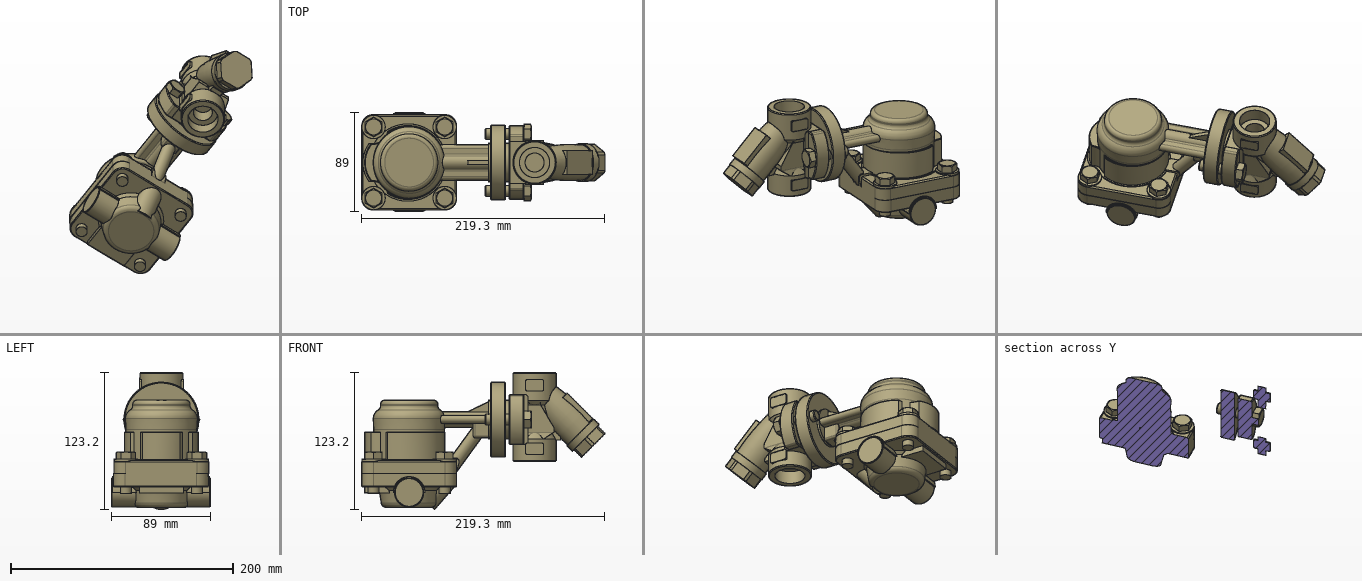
import cadquery as cq
import math


plate_width = 85.5
plate_corner = 10.5
body_plate_height = 12.0
spot_height = 13.1
cover_thickness = 12.0
cover_shift = 0.5
plate_edge_chamfer = 1.3
cover_edge_chamfer = 0.9
plate_bolt_pitch = 64.0
plate_bolt_reach = 17.7

hex_flats = 15.3
hex_height = 6.5
head_top_diameter = 14.5
head_chamfer_angle = 30.0
bolt_diameter = 10.0
tail_chamfer = 0.9

body_radius = 33.3
body_top = 37.7
lobe_radius = 27.2
lobe_reach = 40.0
relief_radius = 14.0
relief_offset_x = 33.0
relief_offset_y = 31.0
body_shift = -1.0
body_chamfer = 0.7
foot_radius = 34.8
foot_height = 0.9

cap_low_radius = 32.0
cap_low_z = 39.7
cap_wide_radius = 32.5
cap_wide_z = 49.5
cap_shoulder_middle = (31.1, 54.1)
cap_shoulder_end = (27.8, 57.5)
cap_hollow_middle = (26.3, 59.2)
cap_neck_radius = 25.9
cap_neck_low_z = 61.4
cap_neck_high_z = 62.5
cap_rim_middle = (24.8, 65.0)
cap_top_radius = 22.0
cap_top = 66.2

port_radius = 13.1
port_z = -16.9
port_span = 89.0
port_collar_radius = 14.2
port_collar_span = 87.2
port_chamfer = 0.7

bowl_top_radius = 27.0
bowl_flare_radius = 29.4
bowl_flare_height = 2.8
bowl_low_radius = 24.5
bowl_bottom = -30.5
bowl_fillet = 4.8
cover_pad_width = 39.9
cover_pad_depth = 17.3

duct_radius = 10.5
duct_angle = 49.0
duct_corner_x = 23.0
duct_bottom = -32.2
duct_limit_x = 40.8
riser_diameter = 12.0
riser_angle = 54.0
riser_start_x = 38.0
riser_start_z = 5.0
riser_length = 41.6
riser_pad_width = 14.5
riser_pad_end_x = 44.7
riser_pad_top = 14.0
riser_pad_bottom = 2.2
riser_pad_knee_z = 9.2
riser_pad_chamfer = 1.8

connector_z = 48.6
connector_diameter = 14.5
web_width = 32.2
web_height = 7.0
web_root_fillet = 2.2
rib_start_x = 51.7
rib_width = 4.0
rib_base_z = 6.5
rib_top_z = 16.2
block_start_x = 57.6
block_width = 16.0
block_bottom_z = 32.2
block_fillet = 1.8

face_radius = 17.5
back_face_x = 71.5
flange_start_x = 73.5
flange_end_x = 86.8
flange_radius = 33.7
flange_chamfer = 0.9
valve_flange_start_x = 89.8
valve_flange_end_x = 103.5
valve_flange_radius = 33.0
valve_flange_height = 44.7
valve_flange_corner = 2.6
valve_neck_end_x = 107.0
valve_neck_height = 45.1
valve_neck_width = 37.7
valve_neck_fillet = 2.8
flange_bolt_offset = 25.6
flange_bolt_tail_x = 68.4

valve_x = 112.8
valve_radius = 19.5
valve_bottom = 11.2
valve_top = 91.0
valve_edge_chamfer = 0.9
waist_half_width = 16.2
waist_flare = 18.0
waist_foot_end_x = 121.2
waist_low_end_x = 130.2
waist_high_end_x = 118.3
waist_end_rise = 4.4
waist_low_edge = 31.3
waist_low_flat = 37.3
waist_high_flat = 61.8
waist_high_edge = 66.0
label_width = 16.2
label_height = 10.3
label_corner = 1.5
label_half_span = 20.0
label_levels = (22.4, 79.5)
socket_radius = 13.5
socket_depth = 12.0
bore_radius = 8.5
bore_depth = 26.3

part_end_x = 176.5
branch_end_z = 25.5
plug_flats = 30.2
plug_length = 9.6
plug_corner_radius = 16.7
collar_radius = 17.0
collar_end = 16.7
barrel_end = 68.0
barrel_root_radius = 12.7
barrel_mid = 37.3
barrel_mid_radius = 16.2
barrel_front_radius = 16.0
tag_start = 17.5
tag_length = 32.5
tag_width = 21.5
tag_height = 16.7
gusset_width = 11.0
gusset_bottom = 30.2
gusset_reach = 4.0


def disc_x(start_x, end_x, radius, y=0.0):
    """Cylinder along X on the height of the connector axis."""
    plane = cq.Plane(origin=(start_x, y, connector_z), xDir=(0, 1, 0), normal=(1, 0, 0))
    return cq.Workplane(plane).circle(radius).extrude(end_x - start_x)


def hexagon(plane, flats, height):
    return cq.Workplane(plane).polygon(6, flats / math.cos(math.pi / 6)).extrude(height)


def bolt_head(plane):
    """Hexagon head with its top corners chamfered to a circle."""
    corner_radius = hex_flats / 2 / math.cos(math.pi / 6)
    top_radius = head_top_diameter / 2
    drop = (corner_radius - top_radius) * math.tan(math.radians(head_chamfer_angle))
    turned = (
        cq.Workplane("XZ")
        .lineTo(corner_radius, 0)
        .lineTo(corner_radius, hex_height - drop)
        .lineTo(top_radius, hex_height)
        .lineTo(0, hex_height)
        .close()
        .revolve(360, (0, 0, 0), (0, 1, 0))
    )
    placed = cq.Workplane(turned.val().moved(cq.Location(plane)))
    return hexagon(plane, hex_flats, hex_height).intersect(placed)


def inclined_cylinder(x, z, angle, radius, length):
    """Cylinder in the XZ plane, rising towards +X."""
    rise = math.radians(angle)
    direction = (math.cos(rise), 0, math.sin(rise))
    plane = cq.Plane(origin=(x, 0, z), xDir=(0, 1, 0), normal=direction)
    return cq.Workplane(plane).circle(radius).extrude(length)


def plate(bottom, height, shift):
    return (
        cq.Workplane("XY", origin=(0, shift, bottom))
        .rect(plate_width, plate_width)
        .extrude(height)
        .edges("|Z")
        .fillet(plate_corner)
    )


bolt_offset = plate_bolt_pitch / 2
plate_bolts = [(x, y) for x in (-bolt_offset, bolt_offset) for y in (-bolt_offset, bolt_offset)]


def plates():
    body_plate = plate(0, body_plate_height, 0).faces(">Z").edges().chamfer(plate_edge_chamfer)
    cover = plate(-cover_thickness, cover_thickness, cover_shift)
    cover = cover.faces("<Z").edges().chamfer(cover_edge_chamfer)
    solid = body_plate.union(cover)
    spots = cq.Workplane("XY").pushPoints(plate_bolts).circle(plate_corner).extrude(spot_height)
    tails = (
        cq.Workplane("XY", origin=(0, 0, -plate_bolt_reach))
        .pushPoints(plate_bolts)
        .circle(bolt_diameter / 2)
        .extrude(plate_bolt_reach)
    )
    solid = solid.union(spots).union(tails)
    for x, y in plate_bolts:
        plane = cq.Plane(origin=(x, y, spot_height), xDir=(0, 1, 0), normal=(0, 0, 1))
        solid = solid.union(bolt_head(plane))
    return solid


def lobe(top, growth=0.0):
    """Round bulge on the -X side of the body."""
    center = cq.Workplane("XY", origin=(lobe_radius - lobe_reach, 0, 0))
    return center.circle(lobe_radius + growth).extrude(top)


def trap_body():
    barrel = cq.Workplane("XY", origin=(body_shift, 0, 0)).circle(body_radius).extrude(body_top)
    centers = [(-relief_offset_x, -relief_offset_y), (-relief_offset_x, relief_offset_y)]
    reliefs = cq.Workplane("XY").pushPoints(centers).circle(relief_radius).extrude(body_top)
    lower = barrel.union(lobe(body_top)).cut(reliefs).faces(">Z").edges().chamfer(body_chamfer)
    foot_top = body_plate_height + foot_height
    foot = cq.Workplane("XY", origin=(body_shift, 0, 0)).circle(foot_radius).extrude(foot_top)
    foot = foot.union(lobe(foot_top, foot_radius - body_radius).cut(reliefs))
    cap = (
        cq.Workplane("XZ")
        .moveTo(0, 0)
        .lineTo(cap_low_radius, 0)
        .lineTo(cap_low_radius, cap_low_z)
        .lineTo(cap_wide_radius, cap_wide_z)
        .threePointArc(cap_shoulder_middle, cap_shoulder_end)
        .threePointArc(cap_hollow_middle, (cap_neck_radius, cap_neck_low_z))
        .lineTo(cap_neck_radius, cap_neck_high_z)
        .threePointArc(cap_rim_middle, (cap_top_radius, cap_top))
        .lineTo(0, cap_top)
        .close()
        .revolve(360, (0, 0, 0), (0, 1, 0))
    )
    return lower.union(foot).union(cap)


def cover_bowl():
    bowl = (
        cq.Workplane("XZ")
        .moveTo(0, 0)
        .lineTo(bowl_flare_radius, 0)
        .lineTo(bowl_flare_radius, -cover_thickness)
        .lineTo(bowl_top_radius, -cover_thickness - bowl_flare_height)
        .lineTo(bowl_low_radius, bowl_bottom)
        .lineTo(0, bowl_bottom)
        .close()
        .revolve(360, (0, 0, 0), (0, 1, 0))
        .faces("<Z")
        .edges()
        .fillet(bowl_fillet)
    )
    pad = (
        cq.Workplane("XY", origin=(-lobe_reach / 2, 0, -cover_pad_depth))
        .rect(lobe_reach, cover_pad_width)
        .extrude(cover_pad_depth)
    )
    return bowl.union(pad)


def port(radius, span):
    return (
        cq.Workplane("XZ", origin=(0, cover_shift + span / 2, port_z))
        .circle(radius)
        .extrude(span)
    )


def ports():
    tube = port(port_radius, port_span).faces("<Y or >Y").edges().chamfer(port_chamfer)
    upper_half = (
        cq.Workplane("XY", origin=(0, 0, port_z))
        .rect(2 * port_collar_radius, 2 * port_span)
        .extrude(port_collar_radius)
    )
    collar = port(port_collar_radius, port_collar_span).intersect(upper_half)
    return tube.union(collar)


def outlet_pipes():
    slope = math.radians(duct_angle)
    duct = inclined_cylinder(
        duct_corner_x - duct_radius * math.sin(slope),
        duct_bottom + duct_radius * math.cos(slope),
        duct_angle,
        duct_radius,
        plate_width / 2,
    )
    room = (
        cq.Workplane("XZ", origin=(0, plate_width / 2, 0))
        .moveTo(0, duct_bottom)
        .lineTo(duct_limit_x, duct_bottom)
        .lineTo(duct_limit_x, -cover_thickness / 2)
        .lineTo(0, -cover_thickness / 2)
        .close()
        .extrude(plate_width)
    )
    riser = inclined_cylinder(riser_start_x, riser_start_z, riser_angle, riser_diameter / 2, riser_length)
    riser_pad = (
        cq.Workplane("XZ", origin=(0, riser_pad_width / 2, 0))
        .moveTo(0, riser_pad_bottom)
        .lineTo(plate_width / 2, riser_pad_bottom)
        .lineTo(riser_pad_end_x, riser_pad_knee_z)
        .lineTo(riser_pad_end_x, riser_pad_top - riser_pad_chamfer)
        .lineTo(riser_pad_end_x - riser_pad_chamfer, riser_pad_top)
        .lineTo(0, riser_pad_top)
        .close()
        .extrude(riser_pad_width)
    )
    return duct.intersect(room).union(riser).union(riser_pad)


def connector():
    tube = disc_x(0, flange_start_x, connector_diameter / 2)
    web = (
        cq.Workplane("YZ", origin=(0, 0, connector_z))
        .slot2D(web_width, web_height)
        .extrude(flange_start_x)
    )
    rib = (
        cq.Workplane("XZ", origin=(0, rib_width / 2, connector_z))
        .moveTo(rib_start_x, rib_base_z)
        .lineTo(back_face_x, rib_base_z)
        .lineTo(back_face_x, rib_top_z)
        .close()
        .extrude(rib_width)
    )
    block_length = flange_start_x - block_start_x
    block_height = connector_z - block_bottom_z
    block = (
        cq.Workplane("XY", origin=(block_start_x + block_length / 2, 0, block_bottom_z))
        .rect(block_length, block_width)
        .extrude(block_height)
        .faces("<X or <Z")
        .edges()
        .fillet(block_fillet)
    )
    roots = cq.selectors.BoxSelector(
        (0, -connector_diameter / 2, connector_z - web_height),
        (flange_start_x, connector_diameter / 2, connector_z + web_height),
    )
    beam = tube.union(web).edges("|X").edges(roots).fillet(web_root_fillet)
    return beam.union(rib).union(block)


def flanges():
    front = disc_x(flange_start_x, flange_end_x, flange_radius)
    front = front.faces("<X or >X").edges().chamfer(flange_chamfer)
    spigot = disc_x(back_face_x, valve_flange_start_x, face_radius)
    oval_length = valve_flange_end_x - valve_flange_start_x
    flats = (
        cq.Workplane("YZ", origin=(valve_flange_start_x, 0, connector_z))
        .rect(2 * valve_flange_radius, valve_flange_height)
        .extrude(oval_length)
    )
    oval = disc_x(valve_flange_start_x, valve_flange_end_x, valve_flange_radius).intersect(flats)
    oval = oval.edges("|X").fillet(valve_flange_corner)
    oval = oval.faces("<X or >X").edges().chamfer(flange_chamfer)
    neck = (
        cq.Workplane("YZ", origin=(valve_flange_start_x + flange_chamfer, 0, connector_z))
        .rect(valve_neck_width, valve_neck_height)
        .extrude(valve_neck_end_x - valve_flange_start_x - flange_chamfer)
        .edges("|Y and >X")
        .fillet(valve_neck_fillet)
    )
    solid = front.union(spigot).union(oval).union(neck)
    for y in (-flange_bolt_offset, flange_bolt_offset):
        shank = disc_x(flange_bolt_tail_x, valve_flange_end_x, bolt_diameter / 2, y)
        shank = shank.faces("<X").edges().chamfer(tail_chamfer)
        plane = cq.Plane(origin=(valve_flange_end_x, y, connector_z), xDir=(0, 1, 0), normal=(1, 0, 0))
        solid = solid.union(shank).union(bolt_head(plane))
    return solid


def valve_body():
    shoulder = valve_radius - valve_edge_chamfer
    solid = (
        cq.Workplane("XZ", origin=(valve_x, 0, 0))
        .moveTo(0, valve_bottom)
        .lineTo(shoulder, valve_bottom)
        .lineTo(valve_radius, valve_bottom + valve_edge_chamfer)
        .lineTo(valve_radius, waist_low_edge)
        .lineTo(waist_half_width, waist_low_flat)
        .lineTo(waist_half_width, waist_high_flat)
        .lineTo(valve_radius, waist_high_edge)
        .lineTo(valve_radius, valve_top - valve_edge_chamfer)
        .lineTo(shoulder, valve_top)
        .lineTo(0, valve_top)
        .close()
        .revolve(360, (0, 0, 0), (0, 1, 0))
    )
    flared_slab = (
        cq.Workplane("YZ", origin=(valve_flange_end_x, 0, 0))
        .moveTo(-waist_flare, waist_low_edge)
        .lineTo(waist_flare, waist_low_edge)
        .lineTo(waist_half_width, waist_low_flat)
        .lineTo(waist_half_width, waist_high_flat)
        .lineTo(waist_flare, waist_high_edge)
        .lineTo(-waist_flare, waist_high_edge)
        .lineTo(-waist_half_width, waist_high_flat)
        .lineTo(-waist_half_width, waist_low_flat)
        .close()
        .extrude(waist_low_end_x - valve_flange_end_x)
    )
    waist_side = (
        cq.Workplane("XZ", origin=(0, waist_flare, 0))
        .moveTo(valve_flange_end_x, waist_low_edge)
        .lineTo(waist_foot_end_x, waist_low_edge)
        .lineTo(waist_low_end_x, waist_low_flat)
        .lineTo(waist_low_end_x, waist_low_flat + waist_end_rise)
        .lineTo(waist_high_end_x, waist_high_flat)
        .lineTo(waist_high_end_x, waist_high_edge)
        .lineTo(valve_flange_end_x, waist_high_edge)
        .close()
        .extrude(2 * waist_flare)
    )
    waist = flared_slab.intersect(waist_side)
    for z in label_levels:
        label = (
            cq.Workplane("XZ", origin=(valve_x, label_half_span, z))
            .rect(label_width, label_height)
            .extrude(2 * label_half_span)
            .edges("|Y")
            .fillet(label_corner)
        )
        solid = solid.union(label)
    return solid.union(waist)


def branch():
    half = math.sqrt(0.5)
    inward = (-half, 0, half)
    end = (part_end_x - plug_flats / 2 * half, 0, branch_end_z)
    section = cq.Plane(origin=end, xDir=inward, normal=(0, 1, 0))
    barrel = (
        cq.Workplane(section)
        .moveTo(plug_length, 0)
        .lineTo(plug_length, collar_radius)
        .lineTo(collar_end, collar_radius)
        .lineTo(collar_end, barrel_front_radius)
        .threePointArc((barrel_mid, barrel_mid_radius), (barrel_end, barrel_root_radius))
        .lineTo(barrel_end, 0)
        .close()
        .revolve(360, (0, 0, 0), (1, 0, 0))
    )
    plug_plane = cq.Plane(origin=end, xDir=(0, 1, 0), normal=inward)
    plug_round = cq.Workplane(plug_plane).circle(plug_corner_radius).extrude(plug_length)
    plug = hexagon(plug_plane, plug_flats, plug_length).intersect(plug_round)
    tag = (
        cq.Workplane(section)
        .moveTo(tag_start, 0)
        .lineTo(tag_start, tag_height)
        .lineTo(tag_start + tag_length, tag_height)
        .lineTo(tag_start + tag_length, 0)
        .close()
        .extrude(tag_width / 2, both=True)
    )
    branch_root_z = branch_end_z + end[0] - valve_x - valve_radius - gusset_reach
    gusset = (
        cq.Workplane("XZ", origin=(valve_x, gusset_width / 2, 0))
        .moveTo(0, waist_low_flat)
        .lineTo(valve_radius, gusset_bottom)
        .lineTo(valve_radius + gusset_reach, gusset_bottom)
        .lineTo(valve_radius + gusset_reach, branch_root_z)
        .close()
        .extrude(gusset_width)
    )
    return barrel.union(plug).union(tag).union(gusset)


def sockets():
    """Stepped blind bores in the two ends of the strainer body."""
    tools = cq.Workplane("XY")
    for z, direction in ((valve_top, -1), (valve_bottom, 1)):
        mouth = cq.Workplane("XY", origin=(valve_x, 0, z))
        tools = tools.union(mouth.circle(socket_radius).extrude(direction * socket_depth))
        tools = tools.union(mouth.circle(bore_radius).extrude(direction * bore_depth))
    return tools


result = (
    plates()
    .union(trap_body())
    .union(cover_bowl())
    .union(ports())
    .union(outlet_pipes())
    .union(connector())
    .union(flanges())
    .union(valve_body())
    .union(branch())
    .cut(sockets())
)